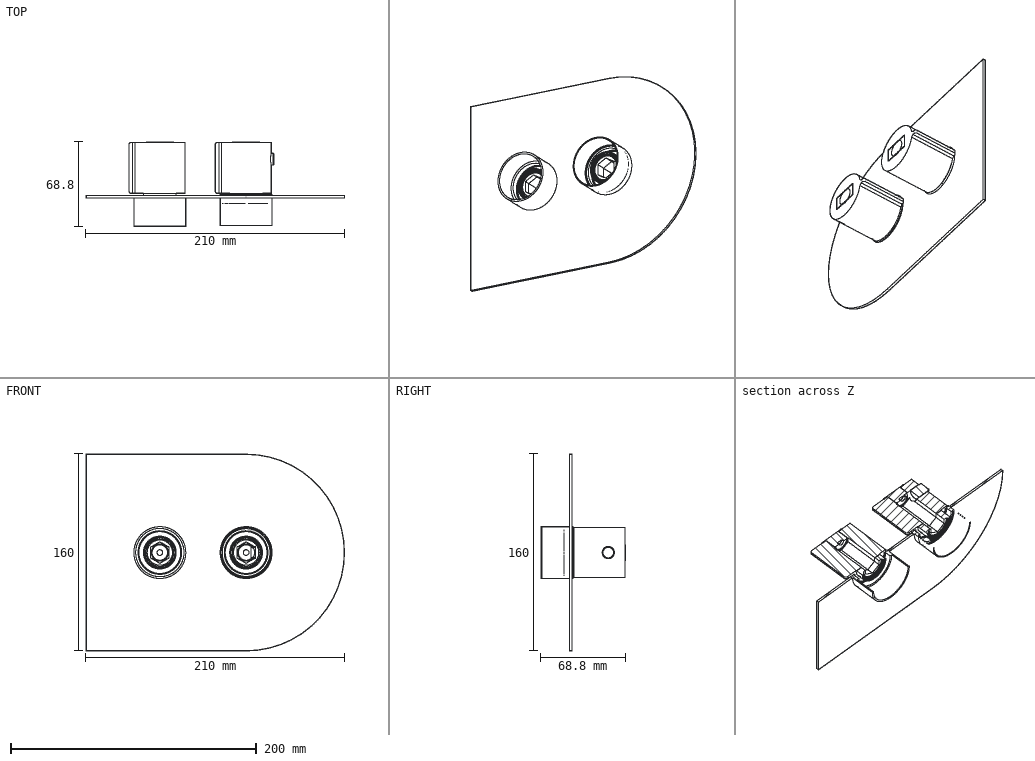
import cadquery as cq
import math

PLATE_LENGTH = 210.0
PLATE_HEIGHT = 160.0
PLATE_THICKNESS = 2.3
PLATE_RADIUS = PLATE_HEIGHT / 2

VALVE_SPACING = 70.1
RIGHT_X = PLATE_LENGTH - PLATE_RADIUS
LEFT_X = RIGHT_X - VALVE_SPACING

COLLAR_DIAMETER = 42.2
COLLAR_LENGTH = 25.2
COLLAR_BORE_DEPTH = 19.0
COLLAR_LIP_BORE = 35.5
COLLAR_BACK_BORE = 34.0
COLLAR_BACK_LIP = 1.0
LEFT_COLLAR_FRONT = -22.9
LEFT_COLLAR_BORE = 39.3
LEFT_SEAT_BORE = LEFT_COLLAR_BORE
RIGHT_COLLAR_FRONT = -22.3
RIGHT_COLLAR_BORE = 40.5
RIGHT_SEAT_BORE = 38.8
SEAT_HEIGHT = 0.8

BODY_DIAMETER = 41.0
BODY_FRONT = 3.8
BODY_BACK = 45.4
SOCKET_ACROSS_FLATS = 15.1
SOCKET_END = 34.5

RIB_TIP_RADIUS = 25.2
RIB_SHOULDER_RADIUS = 22.0
RIB_ROOT_RADIUS = 20.0
RIB_TIP_WIDTH = 3.4
RIB_ROOT_WIDTH = 7.1
RIB_END_FILLET = 1.9

SLEEVE_DIAMETER = 26.7
SLEEVE_STEPS = [(24.4, 0.8), (22.5, 1.7), (20.5, 2.5)]
SLEEVE_CHAMFER = 0.5
LEFT_SLEEVE_FRONT = -4.0
RIGHT_SLEEVE_FRONT = -8.2

SHANK_DIAMETER = 13.9
SHANK_CHAMFER = 0.6
SHANK_HOLE_DIAMETER = 4.6
SHANK_HOLE_DEPTH = 2.0
PAD_WIDTH = 21.8
PAD_HEIGHT = 12.5
PAD_THICKNESS = 0.5

PLUG_DIAMETER = 9.9
PLUG_Y = 31.7
PLUG_START = 10.5
PLUG_END = 22.7
PLUG_CHAMFER = 0.6
CROSS_HOLE_START = 3.8


def cylinder_y(x, diameter, front, back):
    """Cylinder along Y on the valve axis at x, from front to back."""
    plane = cq.Plane(origin=(x, front, 0), xDir=(1, 0, 0), normal=(0, 1, 0))
    return cq.Workplane(plane).circle(diameter / 2).extrude(back - front)


def hexagon_y(x, front, back):
    """Hexagonal prism of the socket, along Y, with corners on +Z and -Z."""
    plane = cq.Plane(origin=(x, front, 0), xDir=(0, 0, 1), normal=(0, 1, 0))
    corner_diameter = SOCKET_ACROSS_FLATS / math.cos(math.pi / 6)
    return cq.Workplane(plane).polygon(6, corner_diameter).extrude(back - front)


def side_cylinder(start):
    """Cylinder along +X with the side plug's diameter, from start to the plug's outer end."""
    plane = cq.Plane(origin=(RIGHT_X + start, PLUG_Y, 0), xDir=(0, 1, 0), normal=(1, 0, 0))
    return cq.Workplane(plane).circle(PLUG_DIAMETER / 2).extrude(PLUG_END - start)


def make_plate():
    outline = (
        cq.Workplane("XZ")
        .moveTo(0, -PLATE_RADIUS)
        .lineTo(RIGHT_X, -PLATE_RADIUS)
        .threePointArc((PLATE_LENGTH, 0), (RIGHT_X, PLATE_RADIUS))
        .lineTo(0, PLATE_RADIUS)
        .close()
    )
    plate = outline.extrude(-PLATE_THICKNESS)
    for x in (LEFT_X, RIGHT_X):
        plate = plate.cut(cylinder_y(x, COLLAR_DIAMETER, 0, PLATE_THICKNESS))
    return plate


def make_collar(x, front, bore, seat_bore):
    """Collar whose bore narrows to a seat, a long lip and a short back lip."""
    back = front + COLLAR_LENGTH
    seat_end = front + COLLAR_BORE_DEPTH
    lip_end = back - COLLAR_BACK_LIP
    collar = cylinder_y(x, COLLAR_DIAMETER, front, back)
    collar = collar.cut(cylinder_y(x, bore, front, seat_end - SEAT_HEIGHT))
    collar = collar.cut(cylinder_y(x, seat_bore, front, seat_end))
    collar = collar.cut(cylinder_y(x, COLLAR_LIP_BORE, front, lip_end))
    return collar.cut(cylinder_y(x, COLLAR_BACK_BORE, lip_end, back))


def make_sleeve(x, front):
    sleeve = cylinder_y(x, SLEEVE_DIAMETER, front, BODY_FRONT)
    sleeve = sleeve.faces("<Y").edges().chamfer(SLEEVE_CHAMFER)
    for diameter, depth in SLEEVE_STEPS:
        sleeve = sleeve.cut(cylinder_y(x, diameter, front, front + depth))
    return sleeve.cut(hexagon_y(x, front, BODY_FRONT))


def make_insert(x):
    shank = cylinder_y(x, SHANK_DIAMETER, SOCKET_END, BODY_BACK)
    shank = shank.faces("<Y").edges().chamfer(SHANK_CHAMFER)
    shank = shank.cut(cylinder_y(x, SHANK_HOLE_DIAMETER, SOCKET_END, SOCKET_END + SHANK_HOLE_DEPTH))
    pad = (
        cq.Workplane("XY")
        .box(PAD_WIDTH, PAD_THICKNESS, PAD_HEIGHT, centered=(True, False, True))
        .translate((x, BODY_BACK, 0))
    )
    return shank.union(pad)


def make_rib(x):
    """Rib with flared root, its outer corners rounded at both ends."""
    half_tip = RIB_TIP_WIDTH / 2
    half_root = RIB_ROOT_WIDTH / 2
    plane = cq.Plane(origin=(x, BODY_FRONT, 0), xDir=(-1, 0, 0), normal=(0, 1, 0))
    rib = (
        cq.Workplane(plane)
        .polyline([
            (RIB_ROOT_RADIUS, -half_root),
            (RIB_SHOULDER_RADIUS, -half_tip),
            (RIB_TIP_RADIUS, -half_tip),
            (RIB_TIP_RADIUS, half_tip),
            (RIB_SHOULDER_RADIUS, half_tip),
            (RIB_ROOT_RADIUS, half_root),
        ])
        .close()
        .extrude(BODY_BACK - BODY_FRONT)
    )
    tip_end_edges = rib.faces("<X").edges("|Z")
    return tip_end_edges.fillet(RIB_END_FILLET)


def make_body(x):
    body = cylinder_y(x, BODY_DIAMETER, BODY_FRONT, BODY_BACK).union(make_rib(x))
    socket = hexagon_y(x, BODY_FRONT, SOCKET_END)
    shank_hole = cylinder_y(x, SHANK_DIAMETER, SOCKET_END, BODY_BACK)
    return body.cut(socket).cut(shank_hole)


plate = make_plate()

collars = [
    make_collar(LEFT_X, LEFT_COLLAR_FRONT, LEFT_COLLAR_BORE, LEFT_SEAT_BORE),
    make_collar(RIGHT_X, RIGHT_COLLAR_FRONT, RIGHT_COLLAR_BORE, RIGHT_SEAT_BORE),
]

sleeves = []
for x, front in ((LEFT_X, LEFT_SLEEVE_FRONT), (RIGHT_X, RIGHT_SLEEVE_FRONT)):
    sleeves.append(make_sleeve(x, front))

cross_hole = side_cylinder(CROSS_HOLE_START)
valve_bodies = []
inserts = []
for x in (LEFT_X, RIGHT_X):
    valve_bodies.append(make_body(x).cut(cross_hole))
    inserts.append(make_insert(x).cut(cross_hole))

side_plug = side_cylinder(PLUG_START).faces(">X").edges().chamfer(PLUG_CHAMFER)

result = cq.Compound.makeCompound([
    plate.solids().val(),
    *[collar.solids().val() for collar in collars],
    *[sleeve.solids().val() for sleeve in sleeves],
    *[body.solids().val() for body in valve_bodies],
    *[insert.solids().val() for insert in inserts],
    side_plug.solids().val(),
])